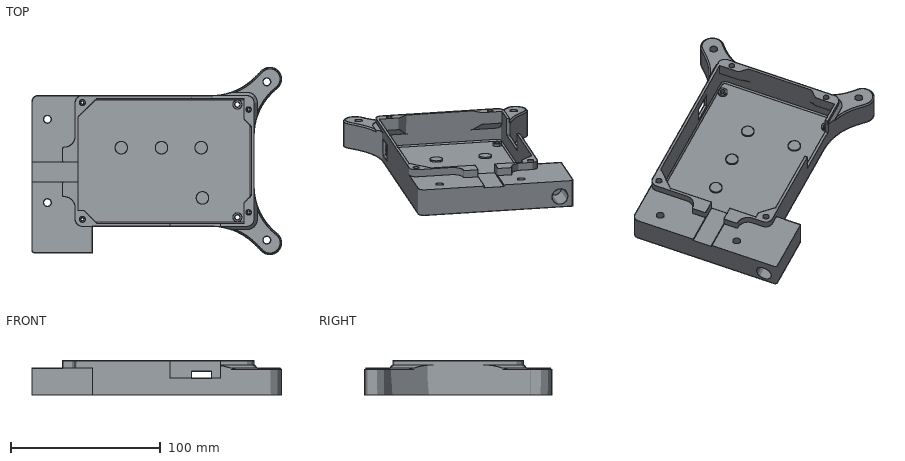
import cadquery as cq
import math

TOTAL_HEIGHT = 23.0
BODY_HEIGHT = 18.0
FLOOR_TOP = 1.0
OVERLAP = 8.3

TRAY_LEFT = 28.8
TRAY_RIGHT = 148.2
TRAY_HALF_WIDTH = 43.6
WALL = 1.8
TRAY_CORNER_RADIUS = 4.8
FLOOR_CHAMFER = 1.0
CAVITY_LEFT = TRAY_LEFT + WALL
CAVITY_RIGHT = TRAY_RIGHT - WALL
CAVITY_HALF_WIDTH = TRAY_HALF_WIDTH - WALL

BLOCK_WIDTH = 40.3
BLOCK_FRONT = -61.3
BLOCK_BACK_RADIUS = 4.2
BLOCK_FRONT_RADIUS = 1.7
BLOCK_HOLE_X = 10.3
BLOCK_HOLE_Y = 27.8
BLOCK_HOLE_RADIUS = 2.5
BORE_Y = -52.1
BORE_Z = 7.3
BORE_RADIUS = 5.3
BORE_DEPTH = 20.0

CHANNEL_CENTER_Y = -7.3
CHANNEL_WIDTH = 13.3
CHANNEL_BOTTOM = 16.8
GUIDE_LEFT = 20.5
GUIDE_HALF_WIDTH = 16.5
GUIDE_BLEND_RADIUS = 7.3
GUIDE_CORNER_RADIUS = 0.8

ARM_TIP_X = 158.7
ARM_TIP_Y = 54.6
ARM_TIP_RADIUS = 7.8
ARM_BLEND_RADIUS = 40.3
ARM_CHAMFER = 1.0
ARM_HOLE_X = 156.7
ARM_HOLE_Y = 52.8
ARM_HOLE_RADIUS = 2.5
COLLAR_SIZE = 2.2

LEFT_BOSS_REACH_X = 12.8
LEFT_BOSS_REACH_Y = 12.5
FRONT_BOSS_SIDE = 8.8
LEFT_SCREW = (33.6, 39.0)
LEFT_SCREW_RADIUS = 2.0
LEFT_SLEEVE_RADIUS = 4.3
LEFT_SLEEVE_TOP = 21.3
RIGHT_BOSS_WIDTH = 5.0
RIGHT_BOSS_LEFT = CAVITY_RIGHT - RIGHT_BOSS_WIDTH
RIGHT_BOSS_SIDE = 28.0
RIGHT_BOSS_HEIGHT = 8.2
RIGHT_BOSS_OUTER_RADIUS = 2.0
RIGHT_BOSS_INNER_RADIUS = 3.0
RIGHT_SCREW = (144.5, 34.3)
RIGHT_SCREW_RADIUS = 1.8
SCREW_RECESS_DEPTH = 5.0
SCREW_PILOT_RADIUS = 1.0

PAD_RADIUS = 4.2
PAD_HEIGHT = 1.0
PAD_CENTERS = [(59.6, 8.8), (86.5, 8.8), (112.9, 8.8), (113.7, -24.6)]
STANDOFF_X = 137.0
STANDOFF_Y = 37.6
STANDOFF_HOLE_RADIUS = 1.7
STANDOFF_RADIUS = 3.0
STANDOFF_HEIGHT = 1.7

NOTCH_LEFT = 92.0
NOTCH_RIGHT = 125.9
NOTCH_BOTTOM = 11.3
WINDOW_LEFT = 106.5
WINDOW_RIGHT = 119.7
WINDOW_BOTTOM = 4.7
WINDOW_TOP = 15.8


def box(x0, x1, y0, y1, z0, z1):
    return cq.Workplane("XY").box(x1 - x0, y1 - y0, z1 - z0, centered=False).translate((x0, y0, z0))


def cylinder(x, y, radius, z0, z1):
    return cq.Workplane("XY").workplane(offset=z0).center(x, y).circle(radius).extrude(z1 - z0)


def mirror_front(body):
    return body.mirror("XZ")


def both_sides(body):
    return body.union(mirror_front(body))


def tray_block():
    tray = box(TRAY_LEFT, TRAY_RIGHT, -TRAY_HALF_WIDTH, TRAY_HALF_WIDTH, 0, TOTAL_HEIGHT)
    return tray.edges("|Z").fillet(TRAY_CORNER_RADIUS)


def cable_block():
    block = box(0, BLOCK_WIDTH, BLOCK_FRONT, TRAY_HALF_WIDTH, 0, BODY_HEIGHT)
    block = block.edges("|Z and <X and >Y").fillet(BLOCK_BACK_RADIUS)
    return block.edges("|Z and <X and <Y").fillet(BLOCK_FRONT_RADIUS)


def channel():
    half = CHANNEL_WIDTH / 2
    return box(
        0, CAVITY_LEFT,
        CHANNEL_CENTER_Y - half, CHANNEL_CENTER_Y + half,
        CHANNEL_BOTTOM, TOTAL_HEIGHT,
    )


def cable_guide():
    """Raised step left of the tray, blended into the tray wall by concave arcs."""
    bend = GUIDE_BLEND_RADIUS
    sag = bend * math.sqrt(0.5)
    outer = GUIDE_HALF_WIDTH + bend
    guide = (
        cq.Workplane("XY")
        .workplane(offset=CHANNEL_BOTTOM)
        .moveTo(CAVITY_LEFT, -outer)
        .lineTo(TRAY_LEFT, -outer)
        .threePointArc(
            (TRAY_LEFT - bend + sag, -outer + sag),
            (TRAY_LEFT - bend, -GUIDE_HALF_WIDTH),
        )
        .lineTo(GUIDE_LEFT, -GUIDE_HALF_WIDTH)
        .lineTo(GUIDE_LEFT, GUIDE_HALF_WIDTH)
        .lineTo(TRAY_LEFT - bend, GUIDE_HALF_WIDTH)
        .threePointArc((TRAY_LEFT - bend + sag, outer - sag), (TRAY_LEFT, outer))
        .lineTo(CAVITY_LEFT, outer)
        .close()
        .extrude(TOTAL_HEIGHT - CHANNEL_BOTTOM)
    )
    guide = guide.translate((0, CHANNEL_CENTER_Y, 0)).cut(channel())
    return guide.edges("|Z and <X").fillet(GUIDE_CORNER_RADIUS)


def arm_outline():
    """Outline of the back arm: round tip, 45 degree back side, arcs tangent to both tray walls."""
    diagonal = math.sqrt(0.5)
    bend = ARM_BLEND_RADIUS
    side = ARM_TIP_RADIUS * diagonal

    rise = bend * (1 - diagonal)
    run = bend * diagonal
    back_turn = math.radians(45)
    back_start = TRAY_HALF_WIDTH + rise - run + ARM_TIP_X - ARM_TIP_Y - 2 * side

    bend_center_x = TRAY_RIGHT + bend
    right_turn = math.acos((bend_center_x - ARM_TIP_X) / (bend + ARM_TIP_RADIUS))
    right_start = ARM_TIP_Y - (bend + ARM_TIP_RADIUS) * math.sin(right_turn)

    def right_arc_point(angle):
        return bend_center_x - bend * math.cos(angle), right_start + bend * math.sin(angle)

    def back_arc_point(angle):
        return back_start + bend * math.sin(angle), TRAY_HALF_WIDTH + bend * (1 - math.cos(angle))

    return (
        cq.Workplane("XY")
        .moveTo(back_start, TRAY_HALF_WIDTH)
        .threePointArc(back_arc_point(back_turn / 2), back_arc_point(back_turn))
        .lineTo(ARM_TIP_X - side, ARM_TIP_Y + side)
        .threePointArc((ARM_TIP_X + side, ARM_TIP_Y + side), right_arc_point(right_turn))
        .threePointArc(right_arc_point(right_turn / 2), (TRAY_RIGHT, right_start))
        .lineTo(TRAY_RIGHT - OVERLAP, right_start)
        .lineTo(back_start, TRAY_HALF_WIDTH - OVERLAP)
        .close()
    )


def arm():
    body = arm_outline().extrude(BODY_HEIGHT).faces(">Z").chamfer(ARM_CHAMFER)
    collar = box(
        TRAY_LEFT, TRAY_RIGHT + COLLAR_SIZE,
        0, TRAY_HALF_WIDTH + COLLAR_SIZE,
        0, BODY_HEIGHT + COLLAR_SIZE,
    )
    collar = collar.edges("|Z and >X and >Y").fillet(TRAY_CORNER_RADIUS + COLLAR_SIZE)
    collar = collar.faces(">Z").chamfer(COLLAR_SIZE)
    collar = collar.intersect(arm_outline().extrude(TOTAL_HEIGHT))
    hole = cylinder(ARM_HOLE_X, ARM_HOLE_Y, ARM_HOLE_RADIUS, 0, TOTAL_HEIGHT)
    return body.union(collar).cut(hole)


def left_bosses():
    """Full-height corner bosses, with a sleeve around each screw below the rim."""
    height = TOTAL_HEIGHT - FLOOR_TOP
    edge = CAVITY_HALF_WIDTH
    boss_right = CAVITY_LEFT + LEFT_BOSS_REACH_X
    floor = cq.Workplane("XY").workplane(offset=FLOOR_TOP)
    back = floor.polyline([
        (CAVITY_LEFT, edge),
        (CAVITY_LEFT, edge - LEFT_BOSS_REACH_Y),
        (boss_right, edge),
    ]).close().extrude(height)
    front = floor.polyline([
        (CAVITY_LEFT, -edge),
        (CAVITY_LEFT, FRONT_BOSS_SIDE - edge),
        (boss_right - FRONT_BOSS_SIDE, FRONT_BOSS_SIDE - edge),
        (boss_right, -edge),
    ]).close().extrude(height)
    x, y = LEFT_SCREW
    sleeve = cylinder(x, y, LEFT_SLEEVE_RADIUS, FLOOR_TOP, LEFT_SLEEVE_TOP)
    return back.union(front).union(both_sides(sleeve))


def right_boss():
    """Hanging boss in the back right corner, with a 45 degree underside down to the right wall."""
    diagonal = math.sqrt(0.5)
    outer = RIGHT_BOSS_OUTER_RADIUS * math.tan(math.radians(22.5))
    inner = RIGHT_BOSS_INNER_RADIUS * math.tan(math.radians(22.5))
    side_end = RIGHT_BOSS_SIDE - RIGHT_BOSS_WIDTH
    column = (
        cq.Workplane("XY")
        .moveTo(CAVITY_RIGHT, CAVITY_HALF_WIDTH)
        .lineTo(RIGHT_BOSS_LEFT, CAVITY_HALF_WIDTH)
        .lineTo(RIGHT_BOSS_LEFT, RIGHT_BOSS_SIDE + outer)
        .tangentArcPoint(
            (RIGHT_BOSS_LEFT + outer * diagonal, RIGHT_BOSS_SIDE - outer * diagonal), relative=False
        )
        .lineTo(CAVITY_RIGHT - inner * diagonal, side_end + inner * diagonal)
        .tangentArcPoint((CAVITY_RIGHT, side_end - inner), relative=False)
        .close()
        .extrude(TOTAL_HEIGHT)
    )
    underside = TOTAL_HEIGHT - RIGHT_BOSS_HEIGHT
    bracket = (
        cq.Workplane("XZ")
        .polyline([
            (RIGHT_BOSS_LEFT, TOTAL_HEIGHT),
            (RIGHT_BOSS_LEFT, underside),
            (CAVITY_RIGHT, underside - RIGHT_BOSS_WIDTH),
            (CAVITY_RIGHT, TOTAL_HEIGHT),
        ])
        .close()
        .extrude(-CAVITY_HALF_WIDTH)
    )
    return column.intersect(bracket)


def cavity():
    space = box(
        CAVITY_LEFT, CAVITY_RIGHT,
        -CAVITY_HALF_WIDTH, CAVITY_HALF_WIDTH,
        FLOOR_TOP, TOTAL_HEIGHT,
    )
    space = space.edges("|Z and >X").fillet(TRAY_CORNER_RADIUS - WALL)
    return space.faces("<Z").edges("not <X").chamfer(FLOOR_CHAMFER)


def screw_hole(center, radius, pilot_bottom):
    x, y = center
    recess = cylinder(x, y, radius, TOTAL_HEIGHT - SCREW_RECESS_DEPTH, TOTAL_HEIGHT)
    return recess.union(cylinder(x, y, SCREW_PILOT_RADIUS, pilot_bottom, TOTAL_HEIGHT))


def mirrored_holes():
    """Holes of the back half; the front half repeats them."""
    block_hole = cylinder(BLOCK_HOLE_X, BLOCK_HOLE_Y, BLOCK_HOLE_RADIUS, 0, TOTAL_HEIGHT)
    standoff_hole = cylinder(STANDOFF_X, STANDOFF_Y, STANDOFF_HOLE_RADIUS, 0, TOTAL_HEIGHT)
    left_screw = screw_hole(LEFT_SCREW, LEFT_SCREW_RADIUS, 0)
    right_screw = screw_hole(RIGHT_SCREW, RIGHT_SCREW_RADIUS, TOTAL_HEIGHT - RIGHT_BOSS_HEIGHT)
    return [block_hole, standoff_hole, left_screw, right_screw]


def wall_openings():
    notch = box(
        NOTCH_LEFT, NOTCH_RIGHT,
        -TRAY_HALF_WIDTH - OVERLAP, -CAVITY_HALF_WIDTH,
        NOTCH_BOTTOM, TOTAL_HEIGHT,
    )
    window = box(
        WINDOW_LEFT, WINDOW_RIGHT,
        CAVITY_HALF_WIDTH - FLOOR_CHAMFER, TRAY_HALF_WIDTH + OVERLAP,
        WINDOW_BOTTOM, WINDOW_TOP,
    )
    return notch.union(window)


def pads():
    floor = cq.Workplane("XY").workplane(offset=FLOOR_TOP)
    return floor.pushPoints(PAD_CENTERS).circle(PAD_RADIUS).extrude(PAD_HEIGHT)


def standoff():
    return cylinder(STANDOFF_X, STANDOFF_Y, STANDOFF_RADIUS, FLOOR_TOP, FLOOR_TOP + STANDOFF_HEIGHT)


def cable_bore():
    return cq.Workplane("YZ").center(BORE_Y, BORE_Z).circle(BORE_RADIUS).extrude(BORE_DEPTH)


result = tray_block().union(cable_block()).union(cable_guide()).union(both_sides(arm()))

result = result.cut(cavity())
result = result.union(left_bosses()).union(both_sides(right_boss()))
result = result.union(both_sides(standoff())).union(pads())

result = result.cut(channel()).cut(wall_openings()).cut(cable_bore())
for hole in mirrored_holes():
    result = result.cut(hole).cut(mirror_front(hole))